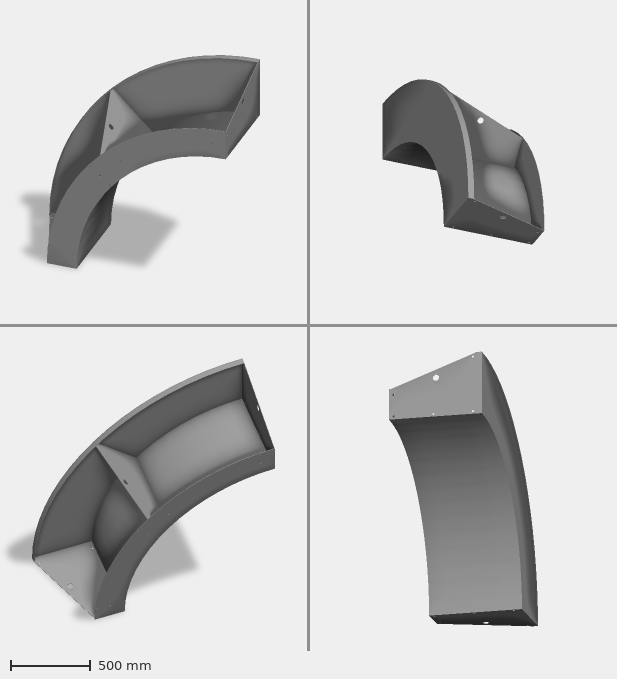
import cadquery as cq
import math

sheet = 3.0
width = 600.0
outer_radius = 1400.0
floor_radius = 1000.0
front_height = 200.0
rim_width = 40.0
bend_angle = 90.0
section_angle = bend_angle / 2
plate_setback = 5.0

plate_hole_diameter = 14.0
hand_hole_diameter = 40.0
hand_hole_radius = 1252.0
hole_edge_offset = 15.0
front_hole_offset = 27.0
back_hole_offset = 55.0
upper_front_hole_radius = 1160.0
upper_back_hole_radius = 1372.0

wall_hole_diameter = 8.0
wall_middle_hole_diameter = 12.0
wall_hole_angle = 5.0

front_radius = floor_radius + front_height
floor_top_radius = floor_radius + sheet
rim_inner_radius = outer_radius - sheet
rim_front = width - rim_width
inner_back = width - sheet
plate_front_radius = front_radius - plate_setback
plate_outer_reach = math.sqrt(rim_inner_radius**2 - sheet**2)
plate_low_hole_radius = floor_top_radius + hole_edge_offset
plate_front_hole_y = sheet + front_hole_offset
plate_back_hole_y = inner_back - back_hole_offset
hand_hole_y = sheet + width / 2


def polar(radius, angle):
    """X and Z of a point, with the angle running from the -X end up to the +Z end."""
    turn = math.radians(angle)
    return outer_radius - radius * math.cos(turn), radius * math.sin(turn)


def ring_sector(inner, outer, start, end, y_front, y_back):
    """Ring sector about the bend axis, between two angles and two Y positions."""
    middle = (start + end) / 2
    return (
        cq.Workplane("XZ", origin=(0, y_front, 0))
        .moveTo(*polar(inner, start))
        .lineTo(*polar(outer, start))
        .threePointArc(polar(outer, middle), polar(outer, end))
        .lineTo(*polar(inner, end))
        .threePointArc(polar(inner, middle), polar(inner, start))
        .close()
        .extrude(y_front - y_back)
    )


def make_front_wall(start):
    """Front wall of one section, with a row of three holes near each end."""
    end = start + section_angle
    wall = ring_sector(floor_radius, front_radius, start, end, 0, sheet)
    middle_radius = (floor_radius + front_radius) / 2
    rows = [
        (floor_radius + hole_edge_offset, wall_hole_diameter),
        (middle_radius, wall_middle_hole_diameter),
        (front_radius - hole_edge_offset, wall_hole_diameter),
    ]
    for angle in (start + wall_hole_angle, end - wall_hole_angle):
        for radius, diameter in rows:
            x, z = polar(radius, angle)
            hole = cq.Workplane("XZ", origin=(x, 0, z)).circle(diameter / 2).extrude(-sheet)
            wall = wall.cut(hole)
    return wall


def make_plate(angle, offset, small_holes):
    """Cross plate standing on the floor at an angle, with `offset` from that angle to its lower face."""
    plate = (
        cq.Workplane("XY", origin=(0, 0, offset))
        .moveTo(-floor_top_radius, sheet)
        .lineTo(-plate_front_radius, sheet)
        .lineTo(-plate_outer_reach, rim_front)
        .lineTo(-plate_outer_reach, inner_back)
        .lineTo(-floor_top_radius, inner_back)
        .close()
        .extrude(sheet)
    )
    plate = plate.cut(make_plate_hole(-hand_hole_radius, hand_hole_y, hand_hole_diameter, offset))
    for x, y in small_holes:
        plate = plate.cut(make_plate_hole(x, y, plate_hole_diameter, offset))
    return plate.rotate((0, 0, 0), (0, 1, 0), angle).translate((outer_radius, 0, 0))


def make_plate_hole(x, y, diameter, offset):
    """Cutter for one hole through a plate."""
    return cq.Workplane("XY", origin=(x, y, offset)).circle(diameter / 2).extrude(sheet)


end_plate_holes = [
    (-plate_low_hole_radius, plate_front_hole_y),
    (-plate_low_hole_radius, (plate_front_hole_y + plate_back_hole_y) / 2),
    (-plate_low_hole_radius, plate_back_hole_y),
    (-upper_front_hole_radius, plate_front_hole_y),
    (-upper_back_hole_radius, plate_back_hole_y),
]

floor = ring_sector(floor_radius, floor_top_radius, 0, bend_angle, sheet, inner_back)
rim = ring_sector(rim_inner_radius, outer_radius, 0, bend_angle, rim_front, inner_back)

front_walls = []
back_walls = []
for start in (0, section_angle):
    end = start + section_angle
    front_walls.append(make_front_wall(start))
    back_walls.append(ring_sector(floor_radius, outer_radius, start, end, inner_back, width))

plates = [
    make_plate(0, 0, end_plate_holes),
    make_plate(section_angle, -sheet / 2, []),
    make_plate(bend_angle, -sheet, end_plate_holes),
]

bodies = [floor, rim, *front_walls, *back_walls, *plates]
result = cq.Compound.makeCompound([body.val() for body in bodies])